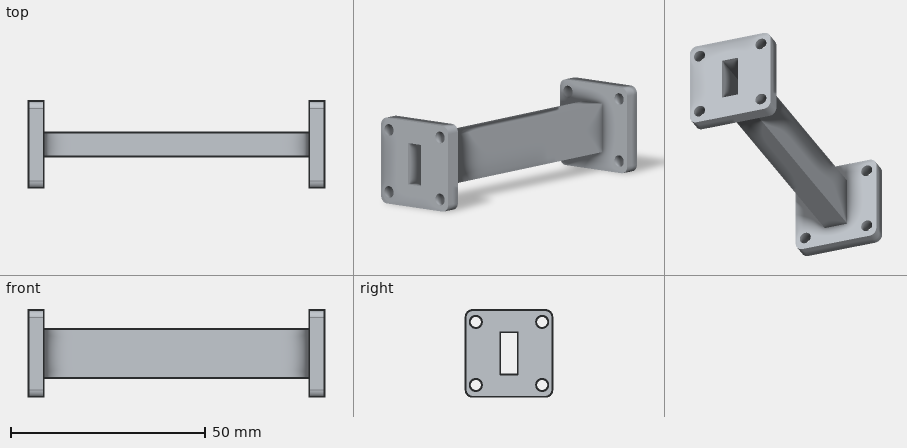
import cadquery as cq

length = 76.2
flange_side = 22.4
flange_thickness = 4.0
corner_radius = 1.9

tube_width = 6.25
tube_height = 12.65
bore_width = 4.4
bore_height = 10.8

hole_diameter = 3.05
hole_spacing_y = 17.1
hole_spacing_z = 16.2


def make_flange(start_x):
    """Square flange with rounded corners and four bolt holes."""
    plate = (
        cq.Workplane("YZ", origin=(start_x, 0, 0))
        .rect(flange_side, flange_side)
        .extrude(flange_thickness)
        .edges("|X")
        .fillet(corner_radius)
    )
    return (
        plate.faces(">X")
        .workplane(centerOption="CenterOfBoundBox")
        .rect(hole_spacing_y, hole_spacing_z, forConstruction=True)
        .vertices()
        .hole(hole_diameter)
    )


tube = cq.Workplane("YZ", origin=(-length / 2, 0, 0)).rect(tube_width, tube_height).extrude(length)
bore = cq.Workplane("YZ", origin=(-length / 2, 0, 0)).rect(bore_width, bore_height).extrude(length)

result = tube
for flange_start in (-length / 2, length / 2 - flange_thickness):
    result = result.union(make_flange(flange_start))
result = result.cut(bore)